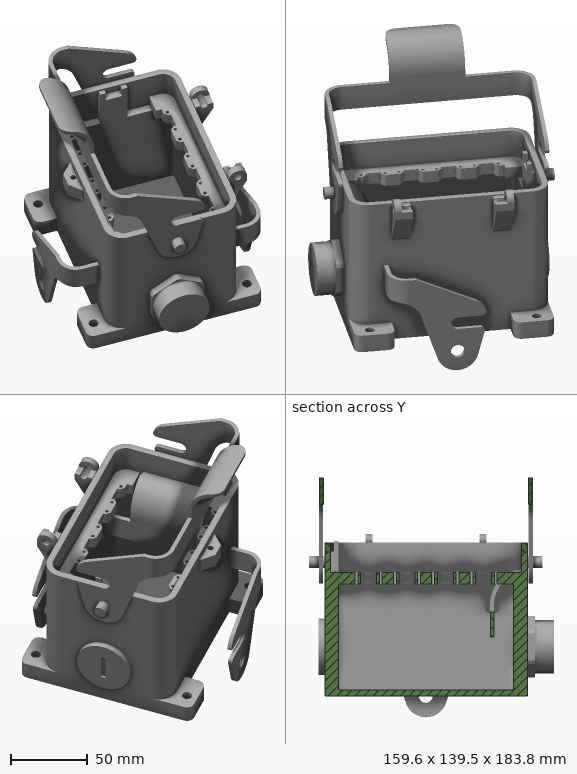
import cadquery as cq
import math

LENGTH = 132.3
WIDTH = 90.6
HEIGHT = 100.0
WALL = 4.0
CORNER_RADIUS = 12.5
RIM_HEIGHT = 5.7
RIM_BASE = HEIGHT - RIM_HEIGHT
CAVITY_LENGTH = LENGTH - 2 * WALL
CAVITY_WIDTH = WIDTH - 2 * WALL
CAVITY_RADIUS = CORNER_RADIUS - WALL
FLOOR = 4.0

FLANGE_LENGTH = 120.4
FLANGE_WIDTH = 26.8
FLANGE_HEIGHT = 12.1
FLANGE_RADIUS = 5.1
MOUNT_HOLE_DIAMETER = 6.5
MOUNT_SPACING_X = 110.6
MOUNT_SPACING_Y = 105.9

RAIL_TOP = 80.9
RAIL_THICKNESS = 8.0
RAIL_BASE = RAIL_TOP - RAIL_THICKNESS
RAIL_GAP_AT_ENDS = 52.5
RAIL_GAP = 60.3
RAIL_GAP_LENGTH = 97.8
LOWER_CAVITY_LENGTH = 114.0
RECESS_COUNT = 4
RECESS_PITCH = 25.0
RECESS_LENGTH = 10.1
RECESS_GAP = 69.0
RECESS_CHAMFER = 2.4
CONTACT_HOLE_DIAMETER = 2.4
CONTACT_HOLE_OFFSET = 7.9
CONTACT_HOLE_Y = 32.9

GUIDE_WIDTH = 19.0
GUIDE_DEPTH = (CAVITY_LENGTH - LOWER_CAVITY_LENGTH) / 2
PRONG_WIDTH = 3.9
PRONG_DEPTH = 3.0
PRONG_RISE = 1.1

LUG_OUTER_X = 39.5
LUG_DISC_THICKNESS = 4.6
LUG_LENGTH = 12.0
LUG_RADIUS = 6.2
LUG_HOLE_DIAMETER = 5.1
LUG_AXIS_Y = 52.2
LUG_AXIS_Z = 99.5
LUG_FOOT_Z = 72.8

TAB_LENGTH = 26.3
TAB_TIP_LENGTH = 10.0
TAB_DEPTH = 7.7
TAB_HEIGHT = 10.0
TAB_HOLE_DIAMETER = 4.0
TAB_HOLE_OFFSET = 2.4

PIN_DIAMETER = 8.0
PIN_SPAN = 152.2
PIN_Z = 87.3
ENTRY_Z = 32.0
PLUG_DIAMETER = 37.0
PLUG_THICKNESS = 3.9
PLUG_SLOT_WIDTH = 3.0
PLUG_SLOT_LENGTH = 18.0
PLUG_SLOT_DEPTH = 1.8
GLAND_FLATS = 36.0
GLAND_CORNER_DIAMETER = 40.0
GLAND_NUT_THICKNESS = 5.0
GLAND_DIAMETER = 35.0
GLAND_END_X = 83.5

LEVER_WIDTH = 139.5
LEVER_THICKNESS = 2.8
LEVER_REACH = 44.5
LEVER_BEND_RADIUS = 12.9
LEVER_HUB_RADIUS = 14.0
LEVER_HOLE_DIAMETER = 9.0
BRIDGE_BASE = 38.2
BRIDGE_TOP = 55.0
NECK_RADIUS = 15.0
BACK_ANGLE = 19.0
LIP_ANGLE = 14.5
LIP_RADIUS = 2.8
HOOK_SLOT_RADIUS = 4.2
HOOK_SLOT_Z = 20.5
HOOK_TIP_REACH = 19.1
HOOK_TIP_RADIUS = 3.0
HOOK_NOSE = (-13.2, 35.3)
HOOK_NOSE_MIDDLE = (-17.0, 32.0)
SHOULDER_REACH = 27.8
HANDLE_WIDTH = 50.0
HANDLE_RADIUS = 23.0
HANDLE_ARC_Z = 59.5
HANDLE_CORNER_RADIUS = 7.2
LEVER_PLACES = [(0, PIN_Z), (90, 0)]


def box(x0, x1, y0, y1, z0, z1):
    """Box between opposite corners."""
    return cq.Workplane("XY").box(x1 - x0, y1 - y0, z1 - z0, centered=False).translate((x0, y0, z0))


def rounded_block(length, width, radius, z0, z1):
    """Upright block with rounded vertical edges, centred on the Z axis."""
    block = cq.Workplane("XY", origin=(0, 0, z0)).rect(length, width).extrude(z1 - z0)
    return block.edges("|Z").fillet(radius)


def x_cylinder(diameter, x0, x1, y, z):
    """Cylinder along X."""
    return cq.Workplane("YZ", origin=(x0, y, z)).circle(diameter / 2).extrude(x1 - x0)


def make_flanges():
    """Mounting flange under each end of the shell."""
    flange = rounded_block(FLANGE_WIDTH, FLANGE_LENGTH, FLANGE_RADIUS, 0, FLANGE_HEIGHT)
    flange_x = (LENGTH - FLANGE_WIDTH) / 2
    return flange.translate((-flange_x, 0, 0)).union(flange.translate((flange_x, 0, 0)))


def make_rail_opening():
    """Stepped opening between the two rails, with the insert recesses and contact holes."""
    opening = (
        cq.Workplane("XY", origin=(0, 0, RAIL_BASE))
        .rect(CAVITY_LENGTH, RAIL_GAP_AT_ENDS)
        .extrude(RAIL_THICKNESS)
    )
    opening = opening.union(
        cq.Workplane("XY", origin=(0, 0, RAIL_BASE)).rect(RAIL_GAP_LENGTH, RAIL_GAP).extrude(RAIL_THICKNESS)
    )
    half_length = RECESS_LENGTH / 2
    edge_y = RAIL_GAP / 2
    chamfer_y = edge_y + RECESS_CHAMFER
    mouth = half_length + RECESS_CHAMFER
    recess_y = RECESS_GAP / 2
    recess = (
        cq.Workplane("XY", origin=(0, 0, RAIL_BASE))
        .polyline(
            [
                (-mouth, edge_y),
                (-half_length, chamfer_y),
                (-half_length, recess_y),
                (half_length, recess_y),
                (half_length, chamfer_y),
                (mouth, edge_y),
                (mouth, -edge_y),
                (half_length, -chamfer_y),
                (half_length, -recess_y),
                (-half_length, -recess_y),
                (-half_length, -chamfer_y),
                (-mouth, -edge_y),
            ]
        )
        .close()
        .extrude(RAIL_THICKNESS)
    )
    contact_holes = (
        cq.Workplane("XY", origin=(0, 0, RAIL_BASE))
        .rect(2 * CONTACT_HOLE_OFFSET, 2 * CONTACT_HOLE_Y, forConstruction=True)
        .vertices()
        .circle(CONTACT_HOLE_DIAMETER / 2)
        .extrude(RAIL_THICKNESS)
    )
    for index in range(RECESS_COUNT):
        x = (index - (RECESS_COUNT - 1) / 2) * RECESS_PITCH
        opening = opening.union(recess.translate((x, 0, 0))).union(contact_holes.translate((x, 0, 0)))
    return opening


def make_cavity():
    """Room inside the housing: above the rails, between them, and below them."""
    inside = rounded_block(CAVITY_LENGTH, CAVITY_WIDTH, CAVITY_RADIUS, FLOOR, HEIGHT)
    upper = inside.intersect(rounded_block(LENGTH, WIDTH, CORNER_RADIUS, RAIL_TOP, HEIGHT))
    half_length = LOWER_CAVITY_LENGTH / 2
    lower = inside.intersect(box(-half_length, half_length, -WIDTH, WIDTH, FLOOR, RAIL_BASE))
    return upper.union(make_rail_opening()).union(lower)


def make_guide():
    """Block on the -X inner wall with a prong at each of its inner corners."""
    wall_x = -CAVITY_LENGTH / 2
    inner_x = wall_x + GUIDE_DEPTH
    half_width = GUIDE_WIDTH / 2
    guide = box(wall_x, inner_x, -half_width, half_width, RAIL_BASE, RIM_BASE)
    for y0 in (-half_width, half_width - PRONG_WIDTH):
        prong = box(inner_x - PRONG_DEPTH, inner_x, y0, y0 + PRONG_WIDTH, RIM_BASE, HEIGHT + PRONG_RISE)
        guide = guide.union(prong)
    return guide


def make_lug(side):
    """Hinge lug: a drilled disc outside and a half-open saddle inside; side is -1 or +1 along X."""
    wall_y = WIDTH / 2
    profile = (
        cq.Workplane("YZ")
        .moveTo(wall_y, LUG_FOOT_Z)
        .lineTo(LUG_AXIS_Y + LUG_RADIUS, RIM_BASE)
        .lineTo(LUG_AXIS_Y + LUG_RADIUS, LUG_AXIS_Z)
        .threePointArc((LUG_AXIS_Y, LUG_AXIS_Z + LUG_RADIUS), (LUG_AXIS_Y - LUG_RADIUS, LUG_AXIS_Z))
        .lineTo(LUG_AXIS_Y - LUG_RADIUS, RIM_BASE)
        .lineTo(wall_y, RIM_BASE)
        .close()
    )
    lug = profile.extrude(LUG_LENGTH)
    lug = lug.cut(x_cylinder(LUG_HOLE_DIAMETER, 0, LUG_LENGTH, LUG_AXIS_Y, LUG_AXIS_Z))
    above_saddle = box(
        LUG_DISC_THICKNESS, LUG_LENGTH,
        LUG_AXIS_Y - LUG_RADIUS, LUG_AXIS_Y + LUG_RADIUS,
        LUG_AXIS_Z, LUG_AXIS_Z + LUG_RADIUS,
    )
    lug = lug.cut(above_saddle).translate((-LUG_OUTER_X, 0, 0))
    return lug if side < 0 else lug.mirror("YZ")


def make_tab():
    """Tapered catch tab with a hole, on the -Y wall just below the rim."""
    wall_y = -WIDTH / 2
    tip_y = wall_y - TAB_DEPTH
    tab_base = RIM_BASE - TAB_HEIGHT
    tab = (
        cq.Workplane("XY", origin=(0, 0, tab_base))
        .polyline(
            [
                (-TAB_LENGTH / 2, wall_y),
                (-TAB_TIP_LENGTH / 2, tip_y),
                (TAB_TIP_LENGTH / 2, tip_y),
                (TAB_LENGTH / 2, wall_y),
            ]
        )
        .close()
        .extrude(TAB_HEIGHT)
    )
    hole = (
        cq.Workplane("XY", origin=(0, wall_y - TAB_HOLE_OFFSET, tab_base))
        .circle(TAB_HOLE_DIAMETER / 2)
        .extrude(TAB_HEIGHT)
    )
    return tab.cut(hole)


def make_pins():
    """Pivot pin on each end wall for the upper lever."""
    wall_x = LENGTH / 2
    pin = x_cylinder(PIN_DIAMETER, wall_x, PIN_SPAN / 2, 0, PIN_Z)
    return pin.union(pin.mirror("YZ"))


def make_plug():
    """Slotted blanking plug on the -X wall."""
    wall_x = -LENGTH / 2
    face_x = wall_x - PLUG_THICKNESS
    slot = box(
        face_x, face_x + PLUG_SLOT_DEPTH,
        -PLUG_SLOT_WIDTH / 2, PLUG_SLOT_WIDTH / 2,
        ENTRY_Z - PLUG_SLOT_LENGTH / 2, ENTRY_Z + PLUG_SLOT_LENGTH / 2,
    )
    return x_cylinder(PLUG_DIAMETER, face_x, wall_x, 0, ENTRY_Z).cut(slot)


def make_gland():
    """Cable gland on the +X wall: a hexagon with rounded corners and a round collar."""
    wall_x = LENGTH / 2
    nut_end_x = wall_x + GLAND_NUT_THICKNESS
    nut = (
        cq.Workplane("YZ", origin=(wall_x, 0, ENTRY_Z))
        .polygon(6, GLAND_FLATS, circumscribed=True)
        .extrude(GLAND_NUT_THICKNESS)
        .intersect(x_cylinder(GLAND_CORNER_DIAMETER, wall_x, nut_end_x, 0, ENTRY_Z))
    )
    return nut.union(x_cylinder(GLAND_DIAMETER, nut_end_x, GLAND_END_X, 0, ENTRY_Z))


def make_housing():
    """Everything cast or fixed to the shell below its rim."""
    shell = rounded_block(LENGTH, WIDTH, CORNER_RADIUS, 0, RIM_BASE)
    mount_holes = (
        cq.Workplane("XY")
        .rect(MOUNT_SPACING_X, MOUNT_SPACING_Y, forConstruction=True)
        .vertices()
        .circle(MOUNT_HOLE_DIAMETER / 2)
        .extrude(FLANGE_HEIGHT)
    )
    housing = shell.union(make_flanges()).cut(mount_holes).cut(make_cavity())
    for feature in (
        make_guide(), make_lug(-1), make_lug(1), make_tab(), make_pins(), make_plug(), make_gland()
    ):
        housing = housing.union(feature)
    return housing


def make_rim():
    """Frame that closes the top of the shell."""
    outside = rounded_block(LENGTH, WIDTH, CORNER_RADIUS, RIM_BASE, HEIGHT)
    return outside.cut(rounded_block(CAVITY_LENGTH, CAVITY_WIDTH, CAVITY_RADIUS, RIM_BASE, HEIGHT))


def make_arm_profile():
    """Side outline of the lever, extruded over its whole width; sketch axes are reach (-Y) and Z."""
    back = math.radians(BACK_ANGLE)
    lip = math.radians(LIP_ANGLE)
    back_foot = (LEVER_HUB_RADIUS * math.cos(back), -LEVER_HUB_RADIUS * math.sin(back))
    lip_foot = (-LEVER_HUB_RADIUS * math.cos(lip), -LEVER_HUB_RADIUS * math.sin(lip))
    neck_corner = back_foot[0] + (BRIDGE_BASE - back_foot[1]) * math.tan(back)
    neck_tangent = NECK_RADIUS * math.tan((math.pi / 2 - back) / 2)
    neck_start = (
        neck_corner - neck_tangent * math.sin(back),
        BRIDGE_BASE - neck_tangent * math.cos(back),
    )
    neck_end = (neck_corner + neck_tangent, BRIDGE_BASE)
    slot_top = HOOK_SLOT_Z + HOOK_SLOT_RADIUS
    slot_base = HOOK_SLOT_Z - HOOK_SLOT_RADIUS
    lip_corner = lip_foot[0] - (slot_base - lip_foot[1]) * math.tan(lip)
    lip_tangent = LIP_RADIUS * math.tan((math.pi / 2 + lip) / 2)
    lip_start = (lip_corner + lip_tangent, slot_base)
    lip_end = (lip_corner + lip_tangent * math.sin(lip), slot_base - lip_tangent * math.cos(lip))
    tip_z = slot_top + HOOK_TIP_RADIUS
    profile = (
        cq.Workplane("YZ", origin=(-LEVER_WIDTH / 2, 0, 0))
        .moveTo(*back_foot)
        .lineTo(*neck_start)
        .tangentArcPoint(neck_end, relative=False)
        .lineTo(LEVER_REACH, BRIDGE_BASE)
        .lineTo(LEVER_REACH, BRIDGE_TOP)
        .lineTo(SHOULDER_REACH, BRIDGE_TOP)
        .lineTo(*HOOK_NOSE)
        .threePointArc(HOOK_NOSE_MIDDLE, (-HOOK_TIP_REACH, tip_z))
        .radiusArc((-HOOK_TIP_REACH + HOOK_TIP_RADIUS, slot_top), -HOOK_TIP_RADIUS)
        .lineTo(0, slot_top)
        .threePointArc((HOOK_SLOT_RADIUS, HOOK_SLOT_Z), (0, slot_base))
        .lineTo(*lip_start)
        .tangentArcPoint(lip_end, relative=False)
        .lineTo(*lip_foot)
        .threePointArc((0, -LEVER_HUB_RADIUS), back_foot)
        .close()
        .extrude(LEVER_WIDTH)
    )
    return profile.mirror("XZ")


def make_bent_strip():
    """Sheet bent into a U: two arms along Y joined by the bridge at -Y."""
    depth = 2 * LEVER_REACH
    height = 2 * BRIDGE_TOP
    outside = cq.Workplane("XY").box(LEVER_WIDTH, depth, height)
    outside = outside.edges("|Z and <Y").fillet(LEVER_BEND_RADIUS)
    inside = (
        cq.Workplane("XY")
        .box(LEVER_WIDTH - 2 * LEVER_THICKNESS, depth, height)
        .translate((0, LEVER_THICKNESS, 0))
        .edges("|Z and <Y")
        .fillet(LEVER_BEND_RADIUS - LEVER_THICKNESS)
    )
    return outside.cut(inside)


def make_handle():
    """Grip that rises from the bridge and curls outwards through a quarter turn."""
    outer_y = -LEVER_REACH
    inner_y = outer_y + LEVER_THICKNESS
    tip_y = inner_y - HANDLE_RADIUS
    inner_radius = HANDLE_RADIUS - LEVER_THICKNESS
    diagonal = math.sqrt(0.5)
    handle = (
        cq.Workplane("YZ", origin=(-HANDLE_WIDTH / 2, 0, 0))
        .moveTo(inner_y, BRIDGE_BASE)
        .lineTo(inner_y, HANDLE_ARC_Z)
        .threePointArc(
            (tip_y + HANDLE_RADIUS * diagonal, HANDLE_ARC_Z + HANDLE_RADIUS * diagonal),
            (tip_y, HANDLE_ARC_Z + HANDLE_RADIUS),
        )
        .lineTo(tip_y, HANDLE_ARC_Z + inner_radius)
        .threePointArc(
            (tip_y + inner_radius * diagonal, HANDLE_ARC_Z + inner_radius * diagonal),
            (outer_y, HANDLE_ARC_Z),
        )
        .lineTo(outer_y, BRIDGE_BASE)
        .close()
        .extrude(HANDLE_WIDTH)
    )
    plan = (
        cq.Workplane("XY")
        .box(HANDLE_WIDTH, -tip_y, HANDLE_ARC_Z + HANDLE_RADIUS, centered=(True, False, False))
        .translate((0, tip_y, 0))
        .edges("|Z and <Y")
        .fillet(HANDLE_CORNER_RADIUS)
    )
    return handle.intersect(plan)


def make_lever():
    """Locking lever in its local frame."""
    lever = make_bent_strip().intersect(make_arm_profile())
    pivot_hole = x_cylinder(LEVER_HOLE_DIAMETER, -LEVER_WIDTH / 2, LEVER_WIDTH / 2, 0, 0)
    return lever.union(make_handle()).cut(pivot_hole)


levers = []
for turn, pivot_z in LEVER_PLACES:
    levers.append(make_lever().rotate((0, 0, 0), (0, 0, 1), turn).translate((0, 0, pivot_z)))

housing = make_housing().cut(levers[-1])
rim = make_rim()

result = cq.Compound.makeCompound([housing.val(), rim.val(), *[lever.val() for lever in levers]])